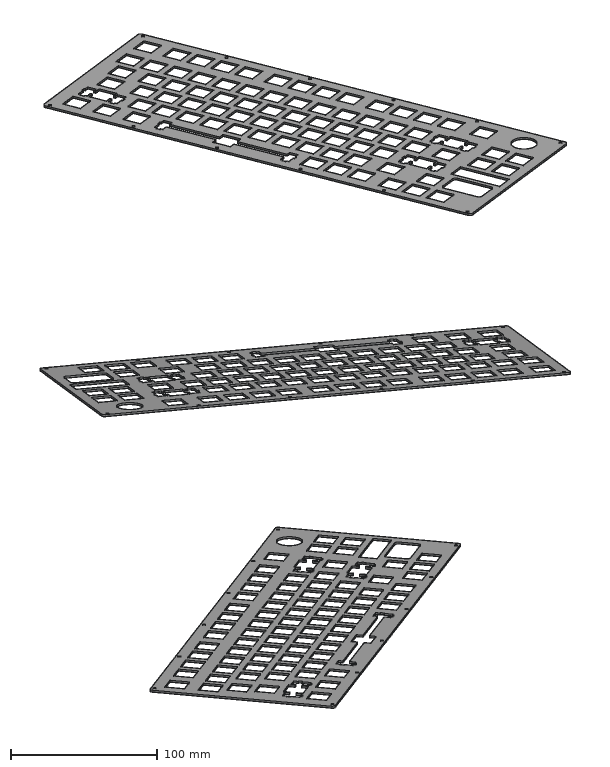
import cadquery as cq

PLATE_LENGTH = 340.0
PLATE_WIDTH = 131.0
PLATE_THICKNESS = 1.5
PLATE_CORNER_RADIUS = 2.0

KEY_UNIT = 19.05
SWITCH_SIZE = 14.0
KEYS_LEFT = 6.03
BOTTOM_ROW_Y = 15.51
FUNCTION_ROW_RISE = 5.25
FUNCTION_ROW_DROP = 0.1
FUNCTION_GROUP_GAP = 4.16
FUNCTION_GROUPS = 3
KEYS_PER_FUNCTION_GROUP = 4
DELETE_KEY_UNITS = 14.5
NAVIGATION_GAP = 4.45
ARROW_SHIFT = 1.55
ARROW_DROP = 1.5

BOTTOM_ROW = 0
SHIFT_ROW = 1
HOME_ROW = 2
TAB_ROW = 3
NUMBER_ROW = 4

STABILIZER_OFFSET_2U = 11.9
STABILIZER_OFFSET_SPACE = 50.0
HOUSING_WIDTH = 6.65
HOUSING_TOP = 5.53
HOUSING_BOTTOM = -6.77
FOOT_WIDTH = 3.0
FOOT_BOTTOM = -7.97
SIDE_NOTCH_DEPTH = 0.875
SIDE_NOTCH_TOP = 2.3
SIDE_NOTCH_BOTTOM = -0.5
WIRE_SLOT_HEIGHT = 4.6

SCREW_DIAMETER = 2.2
SCREW_COLUMNS = 6
SCREW_PITCH = 66.3
SCREW_INSET = 2.5

KNOB_DIAMETER = 18.0
KNOB_CENTER = (314.7, 114.9)
DISPLAY_SIZE = (38.75, 13.0)
DISPLAY_CENTER = (315.3, 54.4)
BADGE_SIZE = (31.25, 18.25)
BADGE_CENTER = (316.5, 35.2)
BADGE_CORNER_RADIUS = 2.5


def rectangle_cutter(left, right, bottom, top):
    """Block through the plate between the given sides."""
    return cq.Workplane("XY").box(
        right - left, top - bottom, PLATE_THICKNESS, centered=False
    ).translate((left, bottom, 0))


def centered_cutter(center, size):
    """Block through the plate with the given centre and size."""
    return cq.Workplane("XY").center(*center).rect(*size).extrude(PLATE_THICKNESS)


def key_x(units):
    """X of a key centre lying this many units from the left edge of the key field."""
    return KEYS_LEFT + units * KEY_UNIT


def row_y(row):
    """Y of a row centre line, counted upwards from the bottom row."""
    return BOTTOM_ROW_Y + row * KEY_UNIT


def run_of_keys(first_units, count, y):
    """Centres of adjacent one unit keys."""
    return [(key_x(first_units + i), y) for i in range(count)]


def function_row_centers():
    """Escape, the groups of function keys, and delete."""
    delete_y = row_y(FUNCTION_ROW_RISE)
    y = delete_y - FUNCTION_ROW_DROP
    centers = [(key_x(0.5), y), (key_x(DELETE_KEY_UNITS), delete_y)]
    for group in range(FUNCTION_GROUPS):
        first_units = 1.5 + KEYS_PER_FUNCTION_GROUP * group
        shift = FUNCTION_GROUP_GAP * (group + 1)
        group_keys = run_of_keys(first_units, KEYS_PER_FUNCTION_GROUP, y)
        centers += [(x + shift, y) for x, y in group_keys]
    return centers


def main_block_centers():
    """Switch centres of the five main rows, without the stabilized keys."""
    centers = run_of_keys(0.5, 13, row_y(NUMBER_ROW))
    centers += [(key_x(0.75), row_y(TAB_ROW)), (key_x(14.25), row_y(TAB_ROW))]
    centers += run_of_keys(2.0, 12, row_y(TAB_ROW))
    centers += [(key_x(0.875), row_y(HOME_ROW))]
    centers += run_of_keys(2.25, 11, row_y(HOME_ROW))
    centers += run_of_keys(2.75, 10, row_y(SHIFT_ROW))
    centers += [(key_x(13.125), row_y(SHIFT_ROW))]
    centers += [(key_x(units), row_y(BOTTOM_ROW)) for units in (0.625, 1.875, 3.125)]
    centers += run_of_keys(10.5, 3, row_y(BOTTOM_ROW))
    return centers


def right_hand_centers():
    """Four navigation keys and the arrow cluster."""
    navigation_x = key_x(15.5) + NAVIGATION_GAP
    arrow_x = navigation_x - 2 * KEY_UNIT + ARROW_SHIFT
    centers = []
    for row in (TAB_ROW, NUMBER_ROW):
        centers += [(navigation_x, row_y(row)), (navigation_x + KEY_UNIT, row_y(row))]
    centers += [(arrow_x + i * KEY_UNIT, row_y(BOTTOM_ROW) - ARROW_DROP) for i in range(3)]
    centers += [(arrow_x + KEY_UNIT, row_y(SHIFT_ROW) - ARROW_DROP)]
    return centers


def stabilized_key_cutter(center, offset):
    """Switch opening with a stabilizer housing on each side and a wire slot joining them."""
    half_housing = HOUSING_WIDTH / 2
    half_foot = FOOT_WIDTH / 2
    notch_reach = offset + half_housing + SIDE_NOTCH_DEPTH
    cutter = centered_cutter((0, 0), (SWITCH_SIZE, SWITCH_SIZE))
    cutter = cutter.union(centered_cutter((0, 0), (2 * offset, WIRE_SLOT_HEIGHT)))
    cutter = cutter.union(
        rectangle_cutter(-notch_reach, notch_reach, SIDE_NOTCH_BOTTOM, SIDE_NOTCH_TOP)
    )
    for x in (-offset, offset):
        cutter = cutter.union(
            rectangle_cutter(x - half_housing, x + half_housing, HOUSING_BOTTOM, HOUSING_TOP)
        )
        cutter = cutter.union(rectangle_cutter(x - half_foot, x + half_foot, FOOT_BOTTOM, 0))
    return cutter.translate((center[0], center[1], 0))


def screw_centers():
    """Two rows of screws along the long edges."""
    first_x = (PLATE_LENGTH - (SCREW_COLUMNS - 1) * SCREW_PITCH) / 2
    return [
        (first_x + i * SCREW_PITCH, y)
        for i in range(SCREW_COLUMNS)
        for y in (SCREW_INSET, PLATE_WIDTH - SCREW_INSET)
    ]


def plate():
    """Plain plate with rounded corners."""
    blank = cq.Workplane("XY").box(PLATE_LENGTH, PLATE_WIDTH, PLATE_THICKNESS, centered=False)
    return blank.edges("|Z").fillet(PLATE_CORNER_RADIUS)


result = plate()

switch_centers = function_row_centers() + main_block_centers() + right_hand_centers()
switches = (
    cq.Workplane("XY").pushPoints(switch_centers).rect(SWITCH_SIZE, SWITCH_SIZE).extrude(PLATE_THICKNESS)
)
result = result.cut(switches)

stabilized_keys = {
    "backspace": (14.0, NUMBER_ROW, STABILIZER_OFFSET_2U),
    "enter": (13.875, HOME_ROW, STABILIZER_OFFSET_2U),
    "left shift": (1.125, SHIFT_ROW, STABILIZER_OFFSET_2U),
    "space bar": (6.875, BOTTOM_ROW, STABILIZER_OFFSET_SPACE),
}
for units, row, offset in stabilized_keys.values():
    result = result.cut(stabilized_key_cutter((key_x(units), row_y(row)), offset))

screws = cq.Workplane("XY").pushPoints(screw_centers()).circle(SCREW_DIAMETER / 2).extrude(PLATE_THICKNESS)
result = result.cut(screws)

knob = cq.Workplane("XY").center(*KNOB_CENTER).circle(KNOB_DIAMETER / 2).extrude(PLATE_THICKNESS)
display = centered_cutter(DISPLAY_CENTER, DISPLAY_SIZE)
badge = centered_cutter(BADGE_CENTER, BADGE_SIZE).edges("|Z").fillet(BADGE_CORNER_RADIUS)
result = result.cut(knob).cut(display).cut(badge)